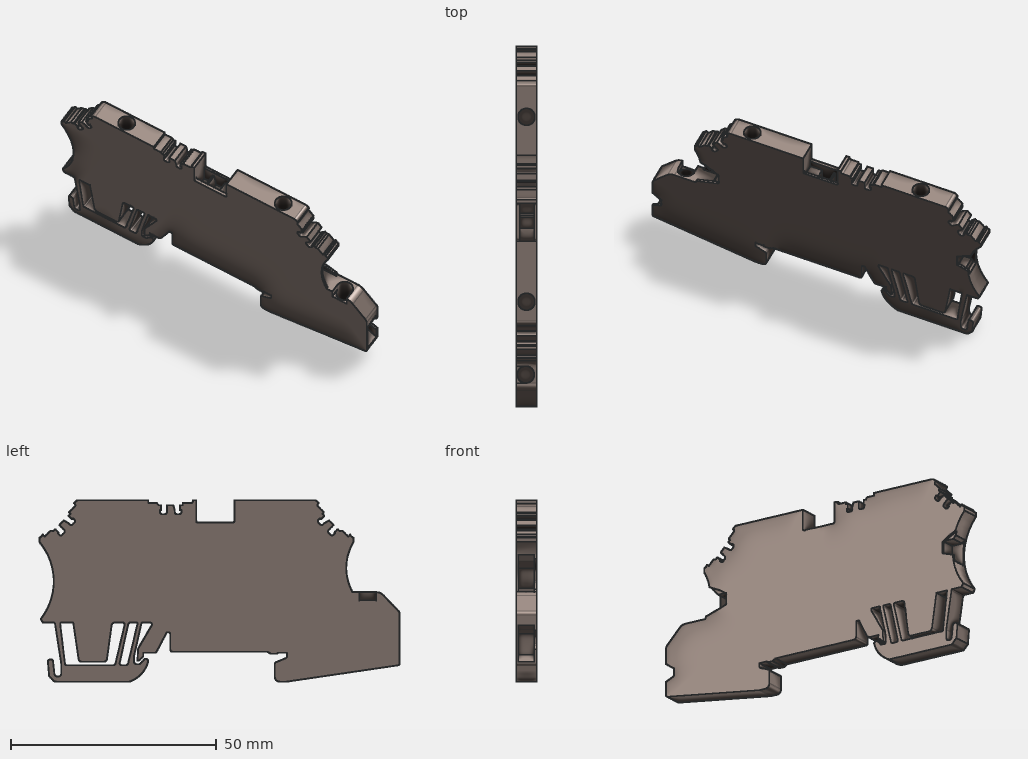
import cadquery as cq
import math

THICKNESS = 5.1
HEIGHT = 44.2
FRONT_Y = -49.5
BACK_Y = FRONT_Y + 87.7
HALF = THICKNESS / 2

RAIL_LENGTH = 10.8
RAIL_RAISE = 0.7
TONGUE_DROP = 0.5
GROOVE_DEPTH = 2.7
UNDERCUT_DEPTH = 1.75
GROOVE_RADIUS = 0.5
RAIL_END_RADIUS = 0.4
SLOPED_RAIL_START = (36.9, 35.35)
SLOPED_RAIL_ANGLE = 45
TOP_RAIL_Y = 11.7

FOOT_TOP_Z = 14.4
DIN_SEAT_Z = 7.3
DIN_LIP_Z = 7.0
SHELF_Z = 21.85
SHELF_BACK_Y = -38.0
FOOT_FLOOR_Z = 4.0

RECESS_LENGTH = 9.2
RECESS_FLOOR_Z = 38.8
RECESS_RADIUS = 0.35
CELL_X = (-1.7, 1.9)
CELL_DEPTH = 4.4
CELL_RIB_Y = (-3.4, -2.5)
CELL_RIB_CREST_Y = -2.9
CELL_RIB_DROP = 1.2
CELL_STEP_Y = -6.05
CELL_STEP_HEIGHT = 2.6

WELL_DIAMETER = 4.1
WELL_DEPTH = 8.8
TOP_WELLS_Y = (21.05, -23.95)
SHELF_WELL_X = -0.2
SHELF_WELL_Y = -41.7
SIDE_WINDOW_DEPTH = 2.0

ENTRY_X = (-2.0, 1.9)
NOTCH_RADIUS = 0.4
OVERCUT = 1.75


def draw_corners(path, corners):
    """Continue a path from its present end, the first corner, through all (y, z) or (y, z, radius)."""
    for i in range(1, len(corners) - 1):
        corner = corners[i]
        y, z = corner[:2]
        if len(corner) == 2:
            path = path.lineTo(y, z)
            continue
        radius = corner[2]
        before = corners[i - 1][:2]
        after = corners[i + 1][:2]
        angle_in = math.atan2(before[1] - z, before[0] - y)
        angle_out = math.atan2(after[1] - z, after[0] - y)
        half_angle = abs(math.remainder(angle_out - angle_in, 2 * math.pi)) / 2
        bisector = angle_in + math.remainder(angle_out - angle_in, 2 * math.pi) / 2
        setback = radius / math.tan(half_angle)
        reach = radius / math.sin(half_angle) - radius
        first = (y + setback * math.cos(angle_in), z + setback * math.sin(angle_in))
        middle = (y + reach * math.cos(bisector), z + reach * math.sin(bisector))
        last = (y + setback * math.cos(angle_out), z + setback * math.sin(angle_out))
        path = path.lineTo(*first).threePointArc(middle, last)
    return path.lineTo(*corners[-1][:2])


def plate(corners, x_range=(-HALF, HALF)):
    """A prism along X with the given rounded YZ outline; its first corner stays sharp."""
    path = cq.Workplane("YZ", origin=(x_range[0], 0, 0)).moveTo(*corners[0][:2])
    return draw_corners(path, corners + corners[:1]).close().extrude(x_range[1] - x_range[0])


def rail(start, angle):
    """Corners of a marker rail running toward -Y, rising at the given angle in degrees."""
    along_and_down = [
        (0, -RAIL_RAISE), (0, 0), (2.0, 0), (2.5, TONGUE_DROP),
        (3.1, TONGUE_DROP), (3.1, UNDERCUT_DEPTH), (2.8, UNDERCUT_DEPTH),
        (2.8, GROOVE_DEPTH, GROOVE_RADIUS), (4.5, GROOVE_DEPTH, GROOVE_RADIUS),
        (4.5, TONGUE_DROP), (6.05, TONGUE_DROP), (6.4, UNDERCUT_DEPTH),
        (6.4, GROOVE_DEPTH, GROOVE_RADIUS), (8.0, GROOVE_DEPTH, GROOVE_RADIUS),
        (8.0, UNDERCUT_DEPTH), (7.6, UNDERCUT_DEPTH), (7.6, TONGUE_DROP),
        (8.3, TONGUE_DROP), (8.3, 0), (RAIL_LENGTH, 0, RAIL_END_RADIUS), (RAIL_LENGTH, -RAIL_RAISE),
    ]
    cosine = math.cos(math.radians(angle))
    sine = math.sin(math.radians(angle))
    corners = []
    for along, down, *radius in along_and_down:
        y = start[0] - along * cosine - down * sine
        z = start[1] + along * sine - down * cosine
        corners.append((y, z, *radius))
    return corners


def mirrored(corners):
    """The same corners on the other side of Y = 0, in reverse order."""
    return [(-y, z, *radius) for y, z, *radius in reversed(corners)]


def housing():
    """The full outline, drawn from the back nose over the top and round under the foot."""
    sloped_rail = rail(SLOPED_RAIL_START, SLOPED_RAIL_ANGLE)
    ridge_y, ridge_z = sloped_rail[-1]
    top_corner_y = ridge_y - (HEIGHT - ridge_z)
    nose = [(BACK_Y, 34.0), (BACK_Y, 35.0), (37.7, 35.35)]
    back_corner = nose + sloped_rail + [(top_corner_y, HEIGHT, 1.05)]
    top = rail((TOP_RAIL_Y, HEIGHT - RAIL_RAISE), 0) + [
        (0, HEIGHT), (0, RECESS_FLOOR_Z, RECESS_RADIUS),
        (-RECESS_LENGTH, RECESS_FLOOR_Z, RECESS_RADIUS), (-RECESS_LENGTH, HEIGHT),
    ]
    front_block = [
        (SHELF_BACK_Y, SHELF_Z), (-44.7, SHELF_Z, 2.5), (FRONT_Y, 16.9, 1.4), (FRONT_Y, 4.0, 0.5),
        (-22.0, 0), (-19.0, 0, 1.2), (-19.0, 4.65, 0.5), (-22.0, 5.9, 0.5), (-22.0, DIN_LIP_Z),
        (-19.8, DIN_LIP_Z), (-19.65, 6.75), (-18.2, 6.75), (-17.3, DIN_SEAT_Z),
    ]
    din_notch = [
        (6.4, DIN_SEAT_Z, 0.6), (6.4, 12.0, 0.35), (7.2, 12.0, 0.3),
        (9.8, DIN_LIP_Z, 0.7), (12.9, DIN_LIP_Z), (12.9, 5.6),
    ]
    foot_clip = [
        (16.2, 0), (34.6, 0, 0.9), (35.9, 1.4), (36.2, 5.4, 0.6), (34.9, 5.4, 0.5), (34.5, 1.3, 0.7),
        (32.9, 1.3, 0.7), (32.9, 4.2), (34.5, FOOT_TOP_Z, 0.35),
        (37.4, FOOT_TOP_Z), (37.9, 15.3),
    ]
    path = cq.Workplane("YZ", origin=(-HALF, 0, 0)).moveTo(*back_corner[0])
    path = draw_corners(path, back_corner + top + mirrored(back_corner))
    path = path.threePointArc((-36.5, 27.9), front_block[0])
    path = draw_corners(path, front_block + din_notch + [(12.1, 5.6), (11.7, 5.1)])
    path = path.threePointArc((13.5, 1.75), foot_clip[0])
    path = draw_corners(path, foot_clip)
    return path.threePointArc((34.7, 24.65), back_corner[0]).close().extrude(THICKNESS)


def foot_slots():
    """The U-shaped window, the sloped slot and the latch slot that make the foot springy."""
    window = [
        (30.0, FOOT_TOP_Z), (33.2, FOOT_TOP_Z, 0.3), (31.9, FOOT_FLOOR_Z, 0.35),
        (19.8, FOOT_FLOOR_Z, 0.5), (17.4, FOOT_TOP_Z, 0.4), (20.5, FOOT_TOP_Z, 0.8),
        (21.85, 4.8, 0.9), (28.6, 4.8, 0.9),
    ]
    sloped_slot = [
        (15.35, FOOT_TOP_Z), (16.5, FOOT_TOP_Z, 0.5), (18.8, FOOT_FLOOR_Z, 0.4),
        (16.8, FOOT_FLOOR_Z, 0.5), (14.3, FOOT_TOP_Z, 0.3),
    ]
    latch_slot = [
        (12.3, FOOT_TOP_Z), (13.3, FOOT_TOP_Z, 0.3), (15.2, 6.1), (15.2, 4.3, 0.6),
        (13.8, 4.3, 0.3), (12.6, 5.5), (12.6, 6.1), (13.1, 6.05), (14.0, 5.1), (14.4, 5.1),
        (14.2, 8.1), (10.5, FOOT_TOP_Z, 0.4),
    ]
    return [plate(window), plate(sloped_slot), plate(latch_slot)]


def box(x_range, y_range, z_range):
    sizes = [high - low for low, high in (x_range, y_range, z_range)]
    corner = (x_range[0], y_range[0], z_range[0])
    return cq.Workplane("XY").box(*sizes, centered=False).translate(corner)


def recess_cell():
    """The cell under the top recess, less the rib and the raised step on its floor."""
    floor_z = RECESS_FLOOR_Z - CELL_DEPTH
    cell = box(CELL_X, (-RECESS_LENGTH, 0), (floor_z, RECESS_FLOOR_Z + RECESS_RADIUS))
    crest_z = RECESS_FLOOR_Z - CELL_RIB_DROP
    rib_front, rib_back = CELL_RIB_Y
    rib = plate([
        (rib_front, floor_z), (CELL_RIB_CREST_Y, crest_z), (rib_back, crest_z), (rib_back, floor_z),
    ], CELL_X)
    step = box(CELL_X, (-RECESS_LENGTH, CELL_STEP_Y), (floor_z, floor_z + CELL_STEP_HEIGHT))
    return cell.cut(rib).cut(step)


def well(x, y, top_z):
    return cq.Workplane("XY", origin=(x, y, top_z)).circle(WELL_DIAMETER / 2).extrude(-WELL_DEPTH)


def side_window():
    """Opens the shelf well to the -X side near its top."""
    half_width = WELL_DIAMETER / 2
    return box(
        (-HALF, SHELF_WELL_X),
        (SHELF_WELL_Y - half_width, SHELF_WELL_Y + half_width),
        (SHELF_Z - SIDE_WINDOW_DEPTH, SHELF_Z),
    )


def wire_entry(pocket, notch):
    """A pocket between the side walls, joined with the notch in the +X wall beside it."""
    return plate(pocket, ENTRY_X).union(plate(notch, (ENTRY_X[1], HALF)))


def upper_entry():
    """Wire entry in the concave end above the shelf."""
    outside_y = SHELF_BACK_Y - OVERCUT
    pocket = [
        (outside_y, SHELF_Z), (outside_y, 30.9), (-36.85, 30.9), (-36.15, 29.4), (-34.6, 27.6),
        (-31.6, 27.6), (-31.6, 22.7), (-33.7, 22.7), (-34.1, SHELF_Z),
    ]
    notch = [
        (outside_y, 22.55), (outside_y, 29.9), (-36.8, 29.9), (-33.8, 28.5),
        (-31.8, 27.2, NOTCH_RADIUS), (-31.8, 24.3, NOTCH_RADIUS), (-37.4, 22.55),
    ]
    return wire_entry(pocket, notch)


def lower_entry():
    """Wire entry in the flat front face below the shelf."""
    outside_y = FRONT_Y - OVERCUT
    pocket = [
        (outside_y, 4.9), (outside_y, 13.8), (FRONT_Y, 13.8), (-48.7, 12.8), (-47.9, 11.7),
        (-46.5, 11.7), (-46.5, 6.6), (FRONT_Y, 4.9),
    ]
    notch = [
        (outside_y, 7.9), (outside_y, 12.55), (FRONT_Y, 12.55),
        (-47.1, 10.9, NOTCH_RADIUS), (-47.1, 8.95, NOTCH_RADIUS), (FRONT_Y, 7.9),
    ]
    return wire_entry(pocket, notch)


result = housing()
for slot in foot_slots():
    result = result.cut(slot)
result = result.cut(recess_cell())
for well_y in TOP_WELLS_Y:
    result = result.cut(well(0, well_y, HEIGHT))
result = result.cut(well(SHELF_WELL_X, SHELF_WELL_Y, SHELF_Z)).cut(side_window())
for entry in (upper_entry(), upper_entry().mirror("XZ"), lower_entry()):
    result = result.cut(entry)